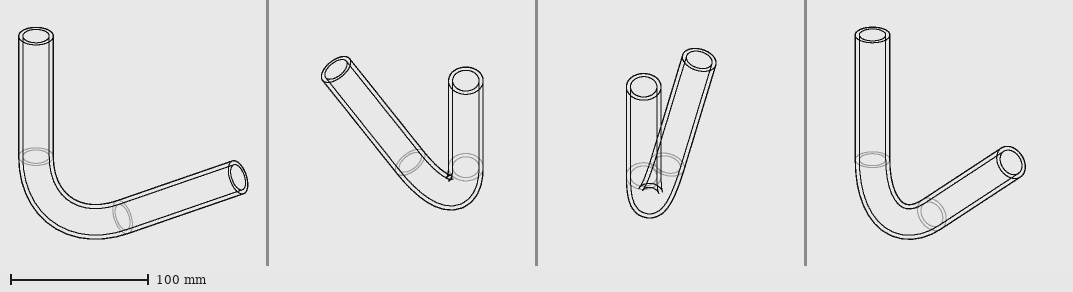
import cadquery as cq
import math

overall_size = 190.5
outer_diameter = 25.3
bore_diameter = 19.2
bend_radius = 76.2

leg_reach = overall_size - outer_diameter / 2
bend_midpoint_offset = bend_radius * (1 - math.cos(math.radians(45)))

centreline = (
    cq.Workplane("YZ")
    .moveTo(0, leg_reach)
    .lineTo(0, bend_radius)
    .threePointArc((bend_midpoint_offset, bend_midpoint_offset), (bend_radius, 0))
    .lineTo(leg_reach, 0)
)

result = (
    cq.Workplane("XY", origin=(0, 0, leg_reach))
    .circle(outer_diameter / 2)
    .circle(bore_diameter / 2)
    .sweep(centreline)
)